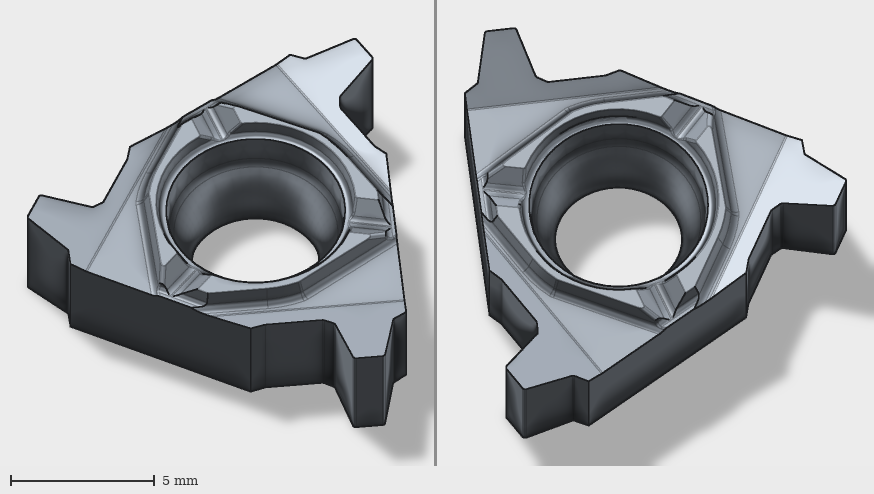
import math

import cadquery as cq

COUNT = 3
TURN = -360.0 / COUNT

overall_height = 4.1
land_height = 3.54

side_distance = 9.525 / 2
tip_distance = 7.0
tip_left_x = -3.80
tip_right_x = -2.72
flank_angle = 15.0
root_left_y = 5.21
root_right_y = 5.20
side_corner_y = 4.91
back_edge_y = 4.97
back_edge_start_x = -1.86
back_edge_end_x = 0.17
nose_x = 0.69
tip_radius = 0.11
root_left_radius = 0.1
root_right_radius = 0.15
back_edge_radius = 0.15

rake_distance = 4.31
rake_angle = 10.0
rake_blend = 0.04

collar_foot_radius = 4.0
collar_flat_distance = 3.89
collar_flat_angle = 122.0
collar_draft = 25.0
collar_foot_fillet = 0.3
collar_corner_fillet = 0.4
collar_top_fillet = 0.03

ledge_height = 3.64
ledge_wall_top = 4.26
ledge_fillet = 0.22
ledge_y_range = (-1.0, 2.5)

notch_angle = 166.7
notch_offset = 0.08
notch_floor_half = 0.025
notch_floor_height = 3.64
notch_wall_angle = 37.0
notch_fillet = 0.36
notch_corner_fillet = 0.15
notch_mouth_fillet = 0.1

bore_radius = 2.2
throat_height = 0.8
bowl_radius, bowl_height = 2.85, 2.35
seat_radius, seat_height = 3.0, 2.65
step_radius, step_height = 3.11, 3.61
rim_mid_radius, rim_mid_height = 3.28, 3.65
rim_low_radius, rim_low_height = 3.36, 3.74
rim_radius = 3.46

slab_radius = 9.0
cut_margin = 1.0


def rotate_point(point, degrees):
    """Turn a plan point about the Z axis."""
    c = math.cos(math.radians(degrees))
    s = math.sin(math.radians(degrees))
    return (point[0] * c - point[1] * s, point[0] * s + point[1] * c)


def around(shape):
    """Union of a shape repeated around the Z axis."""
    pattern = shape
    for i in range(1, COUNT):
        pattern = pattern.union(shape.rotate((0, 0, 0), (0, 0, 1), i * TURN))
    return pattern


def make_prism():
    """Outline of the insert with its three teeth, at full height."""
    flank_slope = math.tan(math.radians(flank_angle))
    root_left = (tip_left_x - (tip_distance - root_left_y) * flank_slope, root_left_y)
    root_right = (tip_right_x + (tip_distance - root_right_y) * flank_slope, root_right_y)
    tip_left = (tip_left_x, tip_distance)
    tip_right = (tip_right_x, tip_distance)
    side_normal = math.radians(180 + TURN)
    nose_y = (side_distance - nose_x * math.cos(side_normal)) / math.sin(side_normal)
    third = [
        (-side_distance, side_corner_y),
        root_left,
        tip_left,
        tip_right,
        root_right,
        (back_edge_start_x, back_edge_y),
        (back_edge_end_x, back_edge_y),
        (nose_x, nose_y),
    ]
    points = [rotate_point(p, i * TURN) for i in range(COUNT) for p in third]
    prism = cq.Workplane("XY").polyline(points).close().extrude(overall_height)
    roundings = [(tip_left, tip_radius), (tip_right, tip_radius)]
    roundings += [((back_edge_start_x, back_edge_y), back_edge_radius)]
    roundings += [(root_left, root_left_radius), (root_right, root_right_radius)]
    for corner, radius in roundings:
        for i in range(COUNT):
            x, y = rotate_point(corner, i * TURN)
            edge = cq.selectors.NearestToPointSelector((x, y, overall_height / 2))
            prism = prism.edges("|Z").edges(edge).fillet(radius)
    return prism


def make_collar():
    """Slab up to the land height carrying the drafted collar with its foot fillet."""
    flat = math.radians(collar_flat_angle)
    next_flat = math.radians(collar_flat_angle + TURN)
    corner_x = (collar_flat_distance - collar_foot_radius * math.sin(next_flat)) / math.cos(next_flat)
    corner = (corner_x, collar_foot_radius)
    arc_end_angle = flat - math.acos(collar_flat_distance / collar_foot_radius)
    arc_mid_angle = (arc_end_angle + math.radians(90)) / 2
    arc_mid = rotate_point((collar_foot_radius, 0), math.degrees(arc_mid_angle))
    arc_end = rotate_point((collar_foot_radius, 0), math.degrees(arc_end_angle))
    start = rotate_point(corner, -TURN)
    outline = cq.Workplane("XY").workplane(offset=land_height).moveTo(*start)
    for i in range(COUNT):
        angle = i * TURN
        outline = outline.lineTo(*rotate_point(arc_end, angle))
        outline = outline.threePointArc(
            rotate_point(arc_mid, angle), rotate_point((0, collar_foot_radius), angle)
        )
        if i < COUNT - 1:
            outline = outline.lineTo(*rotate_point(corner, angle))
    collar = outline.close().extrude(overall_height - land_height, taper=collar_draft)
    for i in range(COUNT):
        x, y = rotate_point(arc_end, i * TURN)
        edge = cq.selectors.NearestToPointSelector((x, y, land_height))
        collar = collar.edges("not #Z").edges(edge).fillet(collar_corner_fillet)
    slab = cq.Workplane("XY").circle(slab_radius).extrude(land_height)
    body = slab.union(collar)
    foot_edges = body.faces(">Z[-2]").wires(cq.selectors.LengthNthSelector(0)).edges()
    return foot_edges.fillet(collar_foot_fillet)


def make_rake():
    """Wedge that lifts the top face towards the tooth tip, with a rounded crease."""
    slope = math.tan(math.radians(rake_angle))
    rise_start = rake_distance + rake_blend
    wedge = (
        cq.Workplane("YZ")
        .moveTo(rake_distance - rake_blend, land_height)
        .lineTo(rake_distance - rake_blend / 2, land_height)
        .tangentArcPoint((rise_start, land_height + rake_blend * slope), relative=False)
        .lineTo(slab_radius, land_height + (slab_radius - rake_distance) * slope)
        .lineTo(slab_radius, 0)
        .lineTo(rake_distance - rake_blend, 0)
        .close()
        .extrude(slab_radius, both=True)
    )
    return around(wedge)


def make_ledge_cutter():
    """Space above the ledges, bounded by the drafted collar wall and its foot fillet."""
    draft = math.radians(collar_draft)
    wall_foot = ledge_wall_top + (overall_height - ledge_height) * math.tan(draft)
    tangent = ledge_fillet * math.tan((math.pi / 2 - draft) / 2)
    top_z = overall_height + cut_margin
    cutter = (
        cq.Workplane("XZ", origin=(0, ledge_y_range[1], 0))
        .moveTo(-side_distance - cut_margin, ledge_height)
        .lineTo(-wall_foot - tangent, ledge_height)
        .tangentArcPoint(
            (-wall_foot + tangent * math.sin(draft), ledge_height + tangent * math.cos(draft)),
            relative=False,
        )
        .lineTo(-ledge_wall_top + cut_margin * math.tan(draft), top_z)
        .lineTo(-side_distance - cut_margin, top_z)
        .close()
        .extrude(ledge_y_range[1] - ledge_y_range[0])
    )
    return around(cutter)


def notch_blend_point(angle):
    """Half width and height on the rounded foot of a notch wall where it slopes by the angle."""
    half_width = notch_floor_half + notch_fillet * math.sin(angle)
    return (half_width, notch_floor_height + notch_fillet * (1 - math.cos(angle)))


def notch_half_width(height):
    """Half width of a notch at a height on its straight walls."""
    slope = math.radians(notch_wall_angle)
    blend_half, blend_height = notch_blend_point(slope)
    return blend_half + (height - blend_height) / math.tan(slope)


def make_notch_cutter():
    """V notches with a narrow floor, cut outwards from the screw hole."""
    slope = math.radians(notch_wall_angle)
    top_z = overall_height + cut_margin
    top_half = notch_half_width(top_z)
    mid_half, mid_z = notch_blend_point(slope / 2)
    blend_half, blend_z = notch_blend_point(slope)
    notch = (
        cq.Workplane("YZ")
        .moveTo(-notch_floor_half, notch_floor_height)
        .lineTo(notch_floor_half, notch_floor_height)
        .threePointArc((mid_half, mid_z), (blend_half, blend_z))
        .lineTo(top_half, top_z)
        .lineTo(-top_half, top_z)
        .lineTo(-blend_half, blend_z)
        .threePointArc((-mid_half, mid_z), (-notch_floor_half, notch_floor_height))
        .close()
        .extrude(slab_radius)
        .translate((0, -notch_offset, 0))
        .rotate((0, 0, 0), (0, 0, 1), notch_angle)
    )
    return around(notch)


def make_hole_cutter():
    """Screw hole: rim recess, step, conical seat wall and a bowl that runs into the bore."""
    bowl_rise = bowl_height - throat_height
    bowl_run = bowl_radius - bore_radius
    bowl_arc = (bowl_run**2 + bowl_rise**2) / (2 * bowl_run)
    mouth_radius = bore_radius + bowl_arc - math.sqrt(bowl_arc**2 - throat_height**2)
    return (
        cq.Workplane("XZ")
        .moveTo(0, 0)
        .lineTo(mouth_radius, 0)
        .threePointArc((bore_radius, throat_height), (bowl_radius, bowl_height))
        .tangentArcPoint((seat_radius, seat_height), relative=False)
        .lineTo(step_radius, step_height)
        .threePointArc((rim_mid_radius, rim_mid_height), (rim_low_radius, rim_low_height))
        .lineTo(rim_radius, overall_height)
        .lineTo(0, overall_height)
        .close()
        .revolve(360, (0, 0, 0), (0, 1, 0))
    )


def edges_near(part, points):
    """Edges closest to the points and to their copies around the axis."""
    found = part.newObject([])
    for x, y, z in points:
        for i in range(COUNT):
            spot = (*rotate_point((x, y), i * TURN), z)
            found = found.add(part.edges(cq.selectors.NearestToPointSelector(spot)))
    return found


def round_notch_edges(part):
    """Round the outer corner of each notch and its mouth at the rim recess."""
    draft_slope = math.tan(math.radians(collar_draft))
    flat = math.radians(collar_flat_angle)
    notch = math.radians(notch_angle)

    wall_z = overall_height - notch_corner_fillet / 2
    flat_distance = collar_flat_distance - (wall_z - land_height) * draft_slope
    across = -notch_offset - notch_half_width(wall_z)
    along = (flat_distance - across * math.sin(flat - notch)) / math.cos(flat - notch)
    notch_corner = (*rotate_point((along, across), notch_angle), wall_z)

    ledge_z = (ledge_height + overall_height) / 2
    ledge_x = -ledge_wall_top - (overall_height - ledge_z) * draft_slope
    flat_distance = collar_flat_distance - (ledge_z - land_height) * draft_slope
    ledge_y = (flat_distance - ledge_x * math.cos(flat)) / math.sin(flat)
    ledge_corner = (ledge_x, ledge_y, ledge_z)

    mouth = []
    mouth_wall_z = (rim_low_height + overall_height) / 2
    mouth_wall_radius = (rim_low_radius + rim_radius) / 2
    foot_half, foot_z = notch_blend_point(math.radians(notch_wall_angle) / 2)
    mouth_spots = [
        (mouth_wall_radius, notch_half_width(mouth_wall_z), mouth_wall_z),
        (rim_mid_radius, foot_half, foot_z),
    ]
    for radius, half_width, z in mouth_spots:
        for side in (-1, 1):
            across = side * half_width - notch_offset
            along = math.sqrt(radius**2 - across**2)
            mouth.append((*rotate_point((along, across), notch_angle), z))

    part = edges_near(part, [notch_corner, ledge_corner]).fillet(notch_corner_fillet)
    return edges_near(part, mouth).fillet(notch_mouth_fillet)


def make_insert():
    """Outline trimmed to its top face, then cut and rounded."""
    top_shape = make_collar().union(make_rake())
    insert = (
        make_prism()
        .intersect(top_shape)
        .cut(make_ledge_cutter())
        .cut(make_notch_cutter())
        .cut(make_hole_cutter())
    )
    insert = round_notch_edges(insert)
    return insert.faces(">Z").edges().fillet(collar_top_fillet)


result = make_insert()